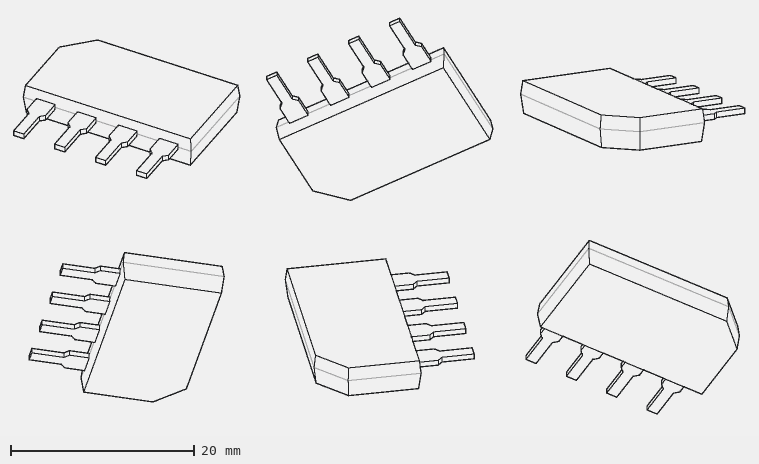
import cadquery as cq

body_width = 20.8
body_depth = 11.32
height_above_parting = 1.54
height_below_parting = 2.16
draft_angle = 6.5
corner_cut = 3.2

lead_count = 4
lead_pitch = 5.08
lead_thickness = 0.65
lead_center_z = 0.05
lead_length = 6.28
shoulder_width = 2.3
shoulder_length = 2.18
taper_length = 0.5
tip_width = 1.27
lead_embed = 1.05


def body_outline():
    """Outline at the parting plane, front edge on Y = 0, corner cut at -X, +Y."""
    half_width = body_width / 2
    return cq.Workplane("XY").polyline([
        (-half_width, 0),
        (half_width, 0),
        (half_width, body_depth),
        (-half_width + corner_cut, body_depth),
        (-half_width, body_depth - corner_cut),
    ]).close()


def make_body():
    upper = body_outline().extrude(height_above_parting, taper=draft_angle)
    lower = body_outline().extrude(-height_below_parting, taper=draft_angle)
    return upper.union(lower)


def make_lead(center_x):
    """Flat lead with a wide shoulder that narrows to a straight tip."""
    half_shoulder = shoulder_width / 2
    half_tip = tip_width / 2
    taper_end = shoulder_length + taper_length
    return (
        cq.Workplane("XY")
        .polyline([
            (-half_shoulder, lead_embed),
            (-half_shoulder, -shoulder_length),
            (-half_tip, -taper_end),
            (-half_tip, -lead_length),
            (half_tip, -lead_length),
            (half_tip, -taper_end),
            (half_shoulder, -shoulder_length),
            (half_shoulder, lead_embed),
        ])
        .close()
        .extrude(lead_thickness / 2, both=True)
        .translate((center_x, 0, lead_center_z))
    )


result = make_body()
first_lead_x = -lead_pitch * (lead_count - 1) / 2
for index in range(lead_count):
    result = result.union(make_lead(first_lead_x + index * lead_pitch))